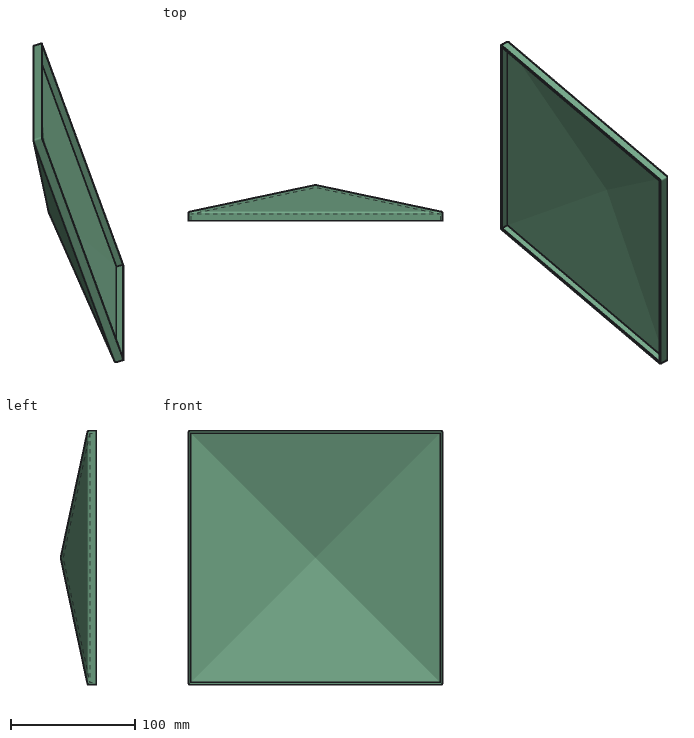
import cadquery as cq

SIDE = 205.0
TOTAL_DEPTH = 29.0
RIM_DEPTH = 7.5
EDGE_RADIUS = 1.5
WALL = 2.0

roof_side = SIDE - 2 * EDGE_RADIUS
cavity_side = SIDE - 2 * WALL
cavity_rim_depth = RIM_DEPTH - WALL
cavity_depth = TOTAL_DEPTH - WALL


def square_prism(side, depth):
    """Square block centred on the Y axis, from the open edge at Y = 0 towards +Y."""
    return cq.Workplane("XY").box(side, depth, side, centered=(True, False, True))


def pyramid(side, base_y, apex_y):
    """Four-sided pyramid on a square base, with its apex on the Y axis."""
    half = side / 2
    corners = [
        cq.Vector(x * half, base_y, z * half)
        for x, z in ((-1, -1), (1, -1), (1, 1), (-1, 1))
    ]
    apex = cq.Vector(0, apex_y, 0)
    faces = [cq.Face.makeFromWires(cq.Wire.makePolygon(corners, close=True))]
    for start, end in zip(corners, corners[1:] + corners[:1]):
        outline = cq.Wire.makePolygon([start, end, apex], close=True)
        faces.append(cq.Face.makeFromWires(outline))
    shell = cq.Shell.makeShell(faces)
    return cq.Workplane("XY").add(cq.Solid.makeSolid(shell).fix())


def outer_body():
    """Rim with rounded corners and shoulder, topped by the pyramid."""
    rim = square_prism(SIDE, RIM_DEPTH)
    rim = rim.edges("|Y or >Y").fillet(EDGE_RADIUS)
    return rim.union(pyramid(roof_side, RIM_DEPTH, TOTAL_DEPTH))


def cavity():
    """Sharp-cornered hollow that follows the rim and the pyramid."""
    rim_hollow = square_prism(cavity_side, cavity_rim_depth)
    return rim_hollow.union(pyramid(cavity_side, cavity_rim_depth, cavity_depth))


result = outer_body().cut(cavity())